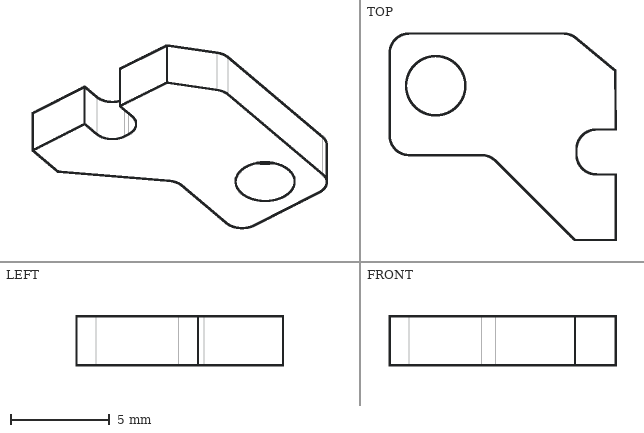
import cadquery as cq

LENGTH = 11.48
WIDTH = 10.48
THICKNESS = 2.5
CORNER_RADIUS = 1.0

ARM_BOTTOM = 4.3
FOOT_LEFT = 9.39
SLOPE_START = FOOT_LEFT - ARM_BOTTOM

BEVEL_LEFT = 9.17
BEVEL_BOTTOM = 8.6
EDGE_LEAN = 0.03

NOTCH_LEFT = 9.48
NOTCH_BOTTOM = 3.34
NOTCH_TOP = 5.6

HOLE_X = 2.34
HOLE_Y = 7.83
HOLE_DIAMETER = 3.0

ROUNDED_CORNERS = [
    (0, WIDTH),
    (0, ARM_BOTTOM),
    (SLOPE_START, ARM_BOTTOM),
    (BEVEL_LEFT, WIDTH),
    (NOTCH_LEFT, NOTCH_BOTTOM),
    (NOTCH_LEFT, NOTCH_TOP),
]


def sharp_plate():
    """Plate with its notch, before any corner is rounded."""
    outline = [
        (0, ARM_BOTTOM),
        (SLOPE_START, ARM_BOTTOM),
        (FOOT_LEFT, 0),
        (LENGTH, 0),
        (LENGTH, NOTCH_BOTTOM),
        (NOTCH_LEFT, NOTCH_BOTTOM),
        (NOTCH_LEFT, NOTCH_TOP),
        (LENGTH, NOTCH_TOP),
        (LENGTH - EDGE_LEAN, BEVEL_BOTTOM),
        (BEVEL_LEFT, WIDTH),
        (0, WIDTH),
    ]
    return cq.Workplane("XY").polyline(outline).close().extrude(THICKNESS)


def round_corners(plate):
    """Round the upright edge at each listed corner."""
    for x, y in ROUNDED_CORNERS:
        edge_middle = (x, y, THICKNESS / 2)
        plate = plate.edges("|Z").edges(cq.NearestToPointSelector(edge_middle)).fillet(CORNER_RADIUS)
    return plate


hole = cq.Workplane("XY").center(HOLE_X, HOLE_Y).circle(HOLE_DIAMETER / 2).extrude(THICKNESS)

result = round_corners(sharp_plate()).cut(hole)